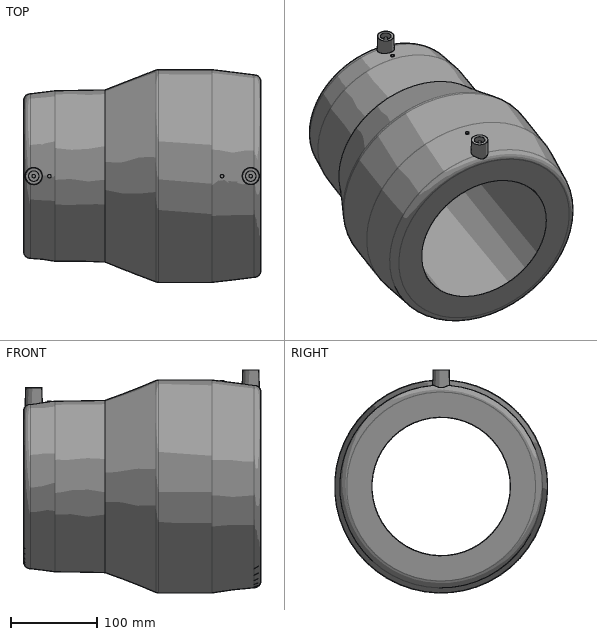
import cadquery as cq
import math

length = 275.0
bore_diameter = 160.0
lip_radius = 8.0

small_lip_diameter = 190.8
small_taper_end = 36.5
neck_start_diameter = 198.0
neck_end = 94.5
neck_end_diameter = 200.0

cone_end = 153.2
body_start = 156.5
body_end = 218.0
body_diameter = 247.0
large_lip_diameter = 234.8

terminal_inset = 11.8
terminal_tip_diameter = 19.0
terminal_root_diameter = 20.4
terminal_length = 24.8
socket_diameter = 12.0
socket_depth = 12.5
pin_diameter = 4.0
pin_recess = 3.0
small_terminal_top = 114.7
large_terminal_top = 135.0

indicator_diameter = 4.0
indicator_height = 0.8
indicator_embed = 4.0
small_indicator_x = 30.0
large_indicator_x = 230.0


def interpolate(x, start, end):
    """Height at x on the line through two (x, height) points."""
    return start[1] + (end[1] - start[1]) * (x - start[0]) / (end[0] - start[0])


small_lip = (lip_radius, small_lip_diameter / 2)
neck_start = (small_taper_end, neck_start_diameter / 2)
neck_finish = (neck_end, neck_end_diameter / 2)
body_finish = (body_end, body_diameter / 2)
large_lip = (length - lip_radius, large_lip_diameter / 2)


def make_body():
    """Revolve the wall section about the X axis."""
    bore_radius = bore_diameter / 2
    body_radius = body_diameter / 2
    corner_x = (cone_end + body_start) / 2
    cone_angle = math.atan2(body_radius - neck_finish[1], corner_x - neck_end)
    tangent_length = body_start - corner_x
    blend_start = (
        corner_x - tangent_length * math.cos(cone_angle),
        body_radius - tangent_length * math.sin(cone_angle),
    )
    lip_middle = lip_radius * math.sqrt(0.5)
    section = (
        cq.Workplane("XY")
        .moveTo(0, bore_radius)
        .lineTo(0, small_lip[1] - lip_radius)
        .threePointArc(
            (lip_radius - lip_middle, small_lip[1] - lip_radius + lip_middle),
            small_lip,
        )
        .lineTo(*neck_start)
        .lineTo(*neck_finish)
        .lineTo(*blend_start)
        .tangentArcPoint((body_start, body_radius), relative=False)
        .lineTo(*body_finish)
        .lineTo(*large_lip)
        .threePointArc(
            (large_lip[0] + lip_middle, large_lip[1] - lip_radius + lip_middle),
            (length, large_lip[1] - lip_radius),
        )
        .lineTo(length, bore_radius)
        .close()
    )
    return section.revolve(360, (0, 0, 0), (1, 0, 0))


def cylinder_down(x, top, diameter, depth):
    """Vertical cylinder on the Y = 0 plane, hanging from the given height."""
    return (
        cq.Workplane("XY", origin=(x, 0, top - depth))
        .circle(diameter / 2)
        .extrude(depth)
    )


def add_terminal(part, x, top):
    shell = (
        cq.Workplane("XY", origin=(x, 0, top - terminal_length))
        .circle(terminal_root_diameter / 2)
        .workplane(offset=terminal_length)
        .circle(terminal_tip_diameter / 2)
        .loft()
    )
    socket = cylinder_down(x, top, socket_diameter, socket_depth)
    pin = cylinder_down(x, top - pin_recess, pin_diameter, terminal_length - pin_recess)
    return part.union(shell).cut(socket).union(pin)


def add_indicator(part, x, surface_height):
    """Pin standing slightly proud of the outer surface."""
    pin_length = indicator_height + indicator_embed
    top = surface_height + indicator_height
    return part.union(cylinder_down(x, top, indicator_diameter, pin_length))


result = make_body()
result = add_terminal(result, terminal_inset, small_terminal_top)
result = add_terminal(result, length - terminal_inset, large_terminal_top)
result = add_indicator(
    result, small_indicator_x, interpolate(small_indicator_x, small_lip, neck_start)
)
result = add_indicator(
    result, large_indicator_x, interpolate(large_indicator_x, body_finish, large_lip)
)